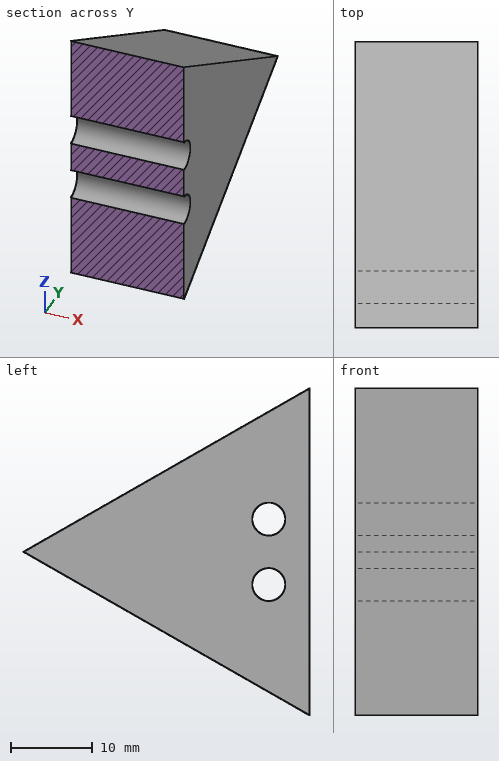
import cadquery as cq

thickness = 15.0
depth = 35.0
height = 40.0
hole_diameter = 4.0
hole_inset = 5.0
hole_spacing = 8.0


def make_wedge():
    """Isosceles triangular prism with its flat face at Y = 0 and its apex edge toward +Y."""
    outline = [(0, -height / 2), (depth, 0), (0, height / 2)]
    return cq.Workplane("YZ").polyline(outline).close().extrude(thickness / 2, both=True)


def make_holes():
    """Two cylinders along X that pass through the full thickness, mirrored about Z = 0."""
    centers = [(hole_inset, side * hole_spacing / 2) for side in (-1, 1)]
    return (
        cq.Workplane("YZ")
        .pushPoints(centers)
        .circle(hole_diameter / 2)
        .extrude(thickness / 2, both=True)
    )


result = make_wedge().cut(make_holes())